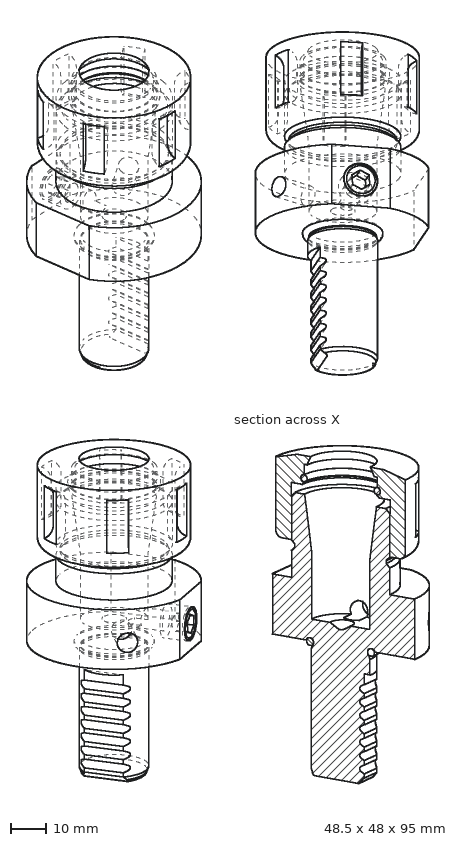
import cadquery as cq
import math


overall_length = 95.0
cut_margin = 0.95

shank_radius = 10.0
shank_length = 40.0
shank_neck_radius = 9.7
shank_neck_bottom = -2.3
shank_neck_taper = 0.8
shank_taper_height = 2.0
shank_tip_radius = 9.5
shank_tip_fillet = 0.9

tooth_flat_y = 8.0
tooth_flat_top = -7.0
tooth_pitch = 4.0
tooth_depth = 1.4
tooth_count = 7
tooth_root_radius = 0.9
tooth_flank_angle = 30.0
first_groove_z = -11.5
tooth_end_chamfer = 2.0

flange_radius = 25.0
flange_height = 18.05
flange_flat_x = -23.5
flange_flat_y = -23.0

nose_radius = 16.6
nose_top = 43.5
nose_chamfer = 1.3
relief_radius = 15.5
relief_bottom = 26.0
relief_top = 29.2
relief_slope = nose_radius - relief_radius

bore_mouth_radius = 12.1
bore_radius = 9.7
bore_taper_angle = 8.0
bore_floor = 6.65
pit_radius = 3.5
drill_half_angle = 59.0

port_z = 8.0
drill_radius = 2.9
coolant_hole_end_x = -5.2
screw_radius = 4.9
screw_length = 7.6
screw_chamfer = 0.8
socket_across_corners = 5.8
socket_depth = 4.75
socket_turn = -4.0

rim_hole_angle = 120.0
rim_hole_depth = 11.4

seal_ring_radius = 10.4
seal_section_radius = 1.1
seal_z = -0.3

nut_radius = 21.9
nut_bottom = relief_top
nut_top = overall_length - shank_length
nut_shoulder = 53.1
nut_face_radius = 14.6
nut_bottom_fillet = 2.3
nut_mouth_radius = 10.0
nut_lip_radius = 11.3
nut_lip_bottom = 52.25
nut_groove_radius = 12.3
nut_groove_bottom = 46.9
nut_seat_radius = 13.0
nut_roof = 46.2

slot_count = 6
slot_start_angle = -6.0
slot_width = 6.3
slot_bottom = 34.1
slot_top = 50.1
slot_floor_distance = 18.6
slot_fillet = 3.4

wire_ring_radius = nut_groove_radius
wire_section_radius = 1.0
wire_z = 48.2


def torus(ring_radius, section_radius, z):
    """Ring of round section about the Z axis."""
    section = cq.Workplane("XZ").center(ring_radius, z).circle(section_radius)
    return section.revolve(360, (-ring_radius, 0, 0), (-ring_radius, 1, 0))


def revolve_profile(profile):
    """Turn a closed (radius, z) outline about the Z axis."""
    return profile.close().revolve(360, (0, 0, 0), (0, 1, 0))


def rod_along_x(radius, start_x, end_x, z):
    """Cylinder lying along X at height z."""
    return cq.Workplane("YZ", origin=(start_x, 0, 0)).center(0, z).circle(radius).extrude(end_x - start_x)


def turned_holder():
    """Shank, neck, relief groove and nose, without the flange and the bore."""
    tip_z = -shank_length
    arc_offset = shank_tip_fillet * (1 - math.sqrt(0.5))
    return revolve_profile(
        cq.Workplane("XZ")
        .moveTo(0, tip_z)
        .lineTo(shank_tip_radius - shank_tip_fillet, tip_z)
        .threePointArc(
            (shank_tip_radius - arc_offset, tip_z + arc_offset),
            (shank_tip_radius, tip_z + shank_tip_fillet),
        )
        .lineTo(shank_radius, tip_z + shank_taper_height)
        .lineTo(shank_radius, shank_neck_bottom)
        .lineTo(shank_neck_radius, shank_neck_bottom + shank_neck_taper)
        .lineTo(shank_neck_radius, 0)
        .lineTo(nose_radius, 0)
        .lineTo(nose_radius, relief_bottom)
        .lineTo(relief_radius, relief_bottom + relief_slope)
        .lineTo(relief_radius, relief_top - relief_slope)
        .lineTo(nose_radius, relief_top)
        .lineTo(nose_radius, nose_top - nose_chamfer)
        .lineTo(nose_radius - nose_chamfer, nose_top)
        .lineTo(0, nose_top)
    )


def flange():
    """Round flange with one flat on -X and one on -Y."""
    side = 2 * flange_radius
    disc = cq.Workplane("XY").circle(flange_radius).extrude(flange_height)
    keep = cq.Workplane("XY").box(side, side, flange_height, centered=False)
    return disc.intersect(keep.translate((flange_flat_x, flange_flat_y, 0)))


def collet_bore():
    """Tapered mouth, straight bore and the drilled pit in its floor."""
    taper_depth = (bore_mouth_radius - bore_radius) / math.tan(math.radians(bore_taper_angle))
    pit_depth = pit_radius / math.tan(math.radians(drill_half_angle))
    return revolve_profile(
        cq.Workplane("XZ")
        .moveTo(0, bore_floor - pit_depth)
        .lineTo(pit_radius, bore_floor)
        .lineTo(bore_radius, bore_floor)
        .lineTo(bore_radius, nose_top - taper_depth)
        .lineTo(bore_mouth_radius, nose_top)
        .lineTo(0, nose_top)
    )


def tooth_cutter():
    """Flat, end chamfer and round-bottomed grooves taken off the +Y side of the shank."""
    outside_y = shank_radius + cut_margin
    tip_z = -shank_length
    cutter = (
        cq.Workplane("YZ")
        .moveTo(tooth_flat_y, tooth_flat_top)
        .lineTo(outside_y, tooth_flat_top)
        .lineTo(outside_y, tip_z)
        .lineTo(tooth_flat_y - tooth_end_chamfer, tip_z)
        .lineTo(tooth_flat_y, tip_z + tooth_end_chamfer)
        .close()
        .extrude(shank_radius, both=True)
    )
    flank = math.radians(tooth_flank_angle)
    root_y = tooth_flat_y - tooth_depth
    arc_end_y = root_y + tooth_root_radius * (1 - math.sin(flank))
    arc_half = tooth_root_radius * math.cos(flank)
    top_half = arc_half + (tooth_flat_y - arc_end_y) * math.tan(flank)
    groove = (
        cq.Workplane("YZ")
        .moveTo(arc_end_y, -arc_half)
        .lineTo(tooth_flat_y, -top_half)
        .lineTo(outside_y, -top_half)
        .lineTo(outside_y, top_half)
        .lineTo(tooth_flat_y, top_half)
        .lineTo(arc_end_y, arc_half)
        .threePointArc((root_y, 0), (arc_end_y, -arc_half))
        .close()
        .extrude(shank_radius, both=True)
    )
    for i in range(tooth_count):
        cutter = cutter.union(groove.translate((0, 0, first_groove_z - i * tooth_pitch)))
    return cutter


def rim_hole():
    """Blind radial hole in the curved rim of the flange."""
    hole = rod_along_x(drill_radius, flange_radius - rim_hole_depth, flange_radius + cut_margin, port_z)
    return hole.rotate((0, 0, 0), (0, 0, 1), rim_hole_angle)


def coolant_hole():
    """Drilled hole from the -X flat into the collet bore, with its conical tip."""
    tip_x = coolant_hole_end_x + drill_radius / math.tan(math.radians(drill_half_angle))
    return (
        cq.Workplane("XZ", origin=(0, 0, port_z))
        .moveTo(flange_flat_x, 0)
        .lineTo(flange_flat_x, drill_radius)
        .lineTo(coolant_hole_end_x, drill_radius)
        .lineTo(tip_x, 0)
        .close()
        .revolve(360, (0, 0, 0), (1, 0, 0))
    )


def screw_rod():
    """Plain cylinder that the set screw and its hole share."""
    return rod_along_x(screw_radius, flange_flat_x, flange_flat_x + screw_length, port_z)


def make_holder():
    return (
        turned_holder()
        .union(flange())
        .cut(collet_bore())
        .cut(tooth_cutter())
        .cut(rim_hole())
        .cut(screw_rod())
        .cut(coolant_hole())
        .cut(make_seal_ring())
    )


def make_set_screw():
    socket = (
        cq.Workplane("YZ", origin=(flange_flat_x, 0, port_z))
        .transformed(rotate=(0, 0, 90 + socket_turn))
        .polygon(6, socket_across_corners)
        .extrude(socket_depth)
    )
    return screw_rod().faces("<X").chamfer(screw_chamfer).cut(socket)


def make_seal_ring():
    return torus(seal_ring_radius, seal_section_radius, seal_z)


def make_wire_ring():
    return torus(wire_ring_radius, wire_section_radius, wire_z)


def wrench_slot():
    """Slot cutter on the +X side, its floor rounded into the top and bottom."""
    depth = nut_radius + cut_margin - slot_floor_distance
    return (
        cq.Workplane("XY")
        .box(depth, slot_width, slot_top - slot_bottom, centered=(False, True, False))
        .translate((slot_floor_distance, 0, slot_bottom))
        .edges("<X and |Y")
        .fillet(slot_fillet)
    )


def make_nut():
    arc_offset = nut_bottom_fillet * (1 - math.sqrt(0.5))
    nut = revolve_profile(
        cq.Workplane("XZ")
        .moveTo(nose_radius, nut_bottom)
        .lineTo(nut_radius - nut_bottom_fillet, nut_bottom)
        .threePointArc(
            (nut_radius - arc_offset, nut_bottom + arc_offset),
            (nut_radius, nut_bottom + nut_bottom_fillet),
        )
        .lineTo(nut_radius, nut_shoulder)
        .lineTo(nut_face_radius, nut_top)
        .lineTo(nut_mouth_radius, nut_top)
        .lineTo(nut_lip_radius, nut_lip_bottom)
        .lineTo(nut_groove_radius, nut_lip_bottom)
        .lineTo(nut_groove_radius, nut_groove_bottom)
        .lineTo(nut_seat_radius, nut_roof)
        .lineTo(nose_radius, nut_roof)
    )
    for i in range(slot_count):
        angle = slot_start_angle + i * 360 / slot_count
        nut = nut.cut(wrench_slot().rotate((0, 0, 0), (0, 0, 1), angle))
    return nut.cut(make_wire_ring())


holder = make_holder()
nut = make_nut()
set_screw = make_set_screw()
seal_ring = make_seal_ring()
wire_ring = make_wire_ring()

result = cq.Compound.makeCompound(
    [holder.val(), nut.val(), set_screw.val(), seal_ring.val(), wire_ring.val()]
)